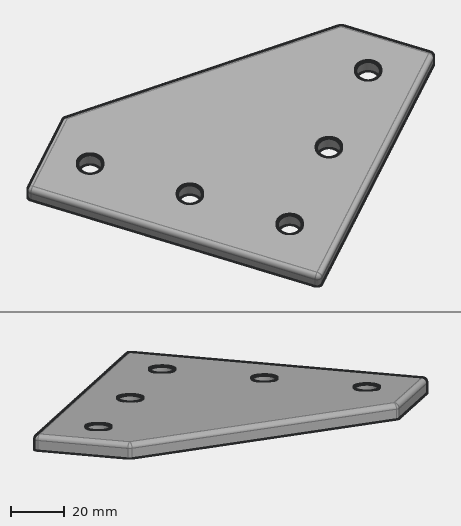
import cadquery as cq

SIDE = 118.0
THICKNESS = 6.0
EDGE_ROUND = 2.0
DIAGONAL_LEG = 80.0

HOLE_DIAMETER = 9.0
HOLE_CHAMFER = 0.5
HOLE_PITCH = 40.0
HOLE_INSET = 20.1
HOLES_PER_ARM = 3


def plate():
    """Square plate with one corner cut off and rounded upright and top edges."""
    half = SIDE / 2
    outline = [
        (-half, -half),
        (half, -half),
        (half, half),
        (-half + DIAGONAL_LEG, half),
        (-half, half - DIAGONAL_LEG),
    ]
    body = cq.Workplane("XY").polyline(outline).close().extrude(THICKNESS)
    body = body.edges("|Z").fillet(EDGE_ROUND)
    return body.faces(">Z").edges().fillet(EDGE_ROUND)


def hole_centres():
    """Centres of the L-shaped hole pattern, with the corner hole counted once."""
    corner_x = SIDE / 2 - HOLE_INSET
    corner_y = -SIDE / 2 + HOLE_INSET
    along_x = [(corner_x - i * HOLE_PITCH, corner_y) for i in range(HOLES_PER_ARM)]
    along_y = [(corner_x, corner_y + i * HOLE_PITCH) for i in range(1, HOLES_PER_ARM)]
    return along_x + along_y


def hole_cutters():
    """Through holes, each widened by a small chamfer at the top face."""
    radius = HOLE_DIAMETER / 2
    top = cq.Workplane("XY").workplane(offset=THICKNESS).pushPoints(hole_centres())
    bores = top.circle(radius).extrude(-THICKNESS)
    rims = top.circle(radius + HOLE_CHAMFER).extrude(-HOLE_CHAMFER, taper=45)
    return bores.union(rims)


result = plate().cut(hole_cutters())